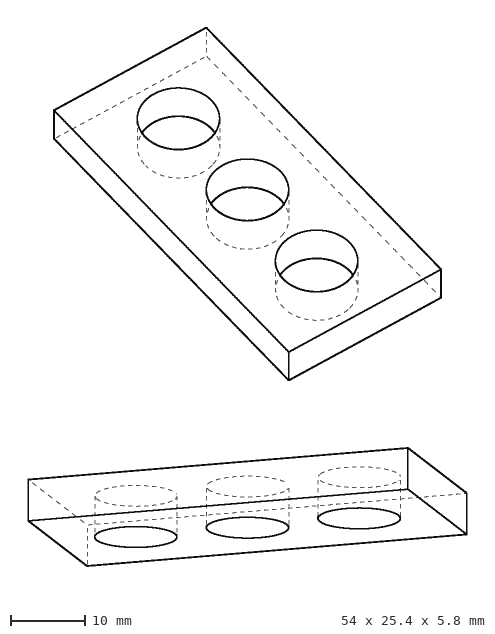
import cadquery as cq

length = 54.0
width = 25.4
thickness = 5.8

hole_diameter = 11.1
hole_pitch = 15.85
hole_count = 3

plate = cq.Workplane("XY").box(length, width, thickness)

result = (
    plate.faces(">Z")
    .workplane()
    .rarray(hole_pitch, width, hole_count, 1)
    .hole(hole_diameter)
)